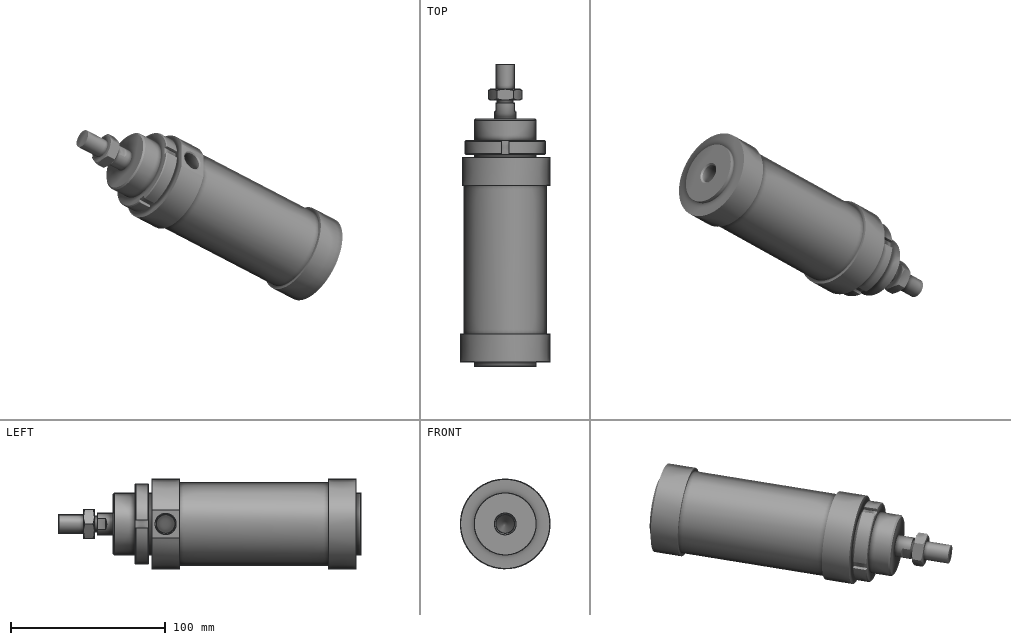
import cadquery as cq
import math

TOTAL_LENGTH = 195.0

CAP_DIAMETER = 58.0
CAP_LENGTH = 18.0
TUBE_DIAMETER = 53.6
TUBE_LENGTH = 96.1
BOSS_DIAMETER = 40.0
TAIL_LENGTH = 3.0
NECK_LENGTH = 25.0
NECK_CHAMFER = 1.0

HOLE_DIAMETER = 12.0
REAR_HOLE_CHAMFER = 1.0
REAR_HOLE_DEPTH = 15.6
DRILL_TIP_ANGLE = 118.0
PORT_DEPTH = 11.7
PORT_CHAMFER = 0.8
PORT_FLAT_OFFSET = 27.5

RING_NUT_DIAMETER = 52.0
RING_NUT_LENGTH = 9.0
RING_NUT_GAP = 2.0
RING_NUT_CHAMFER = 0.5
NOTCH_WIDTH = 5.0
NOTCH_DEPTH = 2.3
NOTCH_COUNT = 4

SHAFT_DIAMETER = 14.0
SHAFT_LENGTH = 10.1
FLAT_LENGTH = 5.0
FLAT_RAMP_LENGTH = 1.0
UNDERCUT_DIAMETER = 10.3
UNDERCUT_LENGTH = 2.0
THREAD_DIAMETER = 12.0

HEX_SIDES = 6
HEX_ACROSS_FLATS = 19.0
HEX_NUT_LENGTH = 7.0
HEX_CHAMFER_ANGLE = 30.0

REAR_CAP_Y = TAIL_LENGTH
TUBE_Y = REAR_CAP_Y + CAP_LENGTH
FRONT_CAP_Y = TUBE_Y + TUBE_LENGTH
NECK_Y = FRONT_CAP_Y + CAP_LENGTH
RING_NUT_Y = NECK_Y + RING_NUT_GAP
SHAFT_Y = NECK_Y + NECK_LENGTH
UNDERCUT_Y = SHAFT_Y + SHAFT_LENGTH
THREAD_Y = UNDERCUT_Y + UNDERCUT_LENGTH


def plane_facing_front(y):
    """Plane at the given Y whose normal is +Y and whose local x is +X."""
    return cq.Plane(origin=(0, y, 0), xDir=(1, 0, 0), normal=(0, 1, 0))


def cylinder(y, diameter, length):
    """Cylinder on the main axis, from y toward +Y."""
    return cq.Workplane(plane_facing_front(y)).circle(diameter / 2).extrude(length)


def hole_cutter(plane, depth, mouth_chamfer, tip_height):
    """Revolved hole that enters along the plane's local y, with a countersunk mouth.

    A tip height of zero leaves the bottom flat.
    """
    radius = HOLE_DIAMETER / 2
    profile = (
        cq.Workplane(plane)
        .moveTo(0, 0)
        .lineTo(radius + mouth_chamfer, 0)
        .lineTo(radius, mouth_chamfer)
        .lineTo(radius, depth)
        .lineTo(0, depth + tip_height)
        .close()
    )
    return profile.revolve(360, (0, 0), (0, 1))


def make_housing():
    rear_cap = cylinder(REAR_CAP_Y, CAP_DIAMETER, CAP_LENGTH)
    tail = cylinder(0, BOSS_DIAMETER, TAIL_LENGTH)
    tube = cylinder(TUBE_Y, TUBE_DIAMETER, TUBE_LENGTH)
    front_cap = cylinder(FRONT_CAP_Y, CAP_DIAMETER, CAP_LENGTH)
    neck = cylinder(NECK_Y, BOSS_DIAMETER, NECK_LENGTH).faces(">Y").chamfer(NECK_CHAMFER)

    port_y = FRONT_CAP_Y + CAP_LENGTH / 2
    land_waste = cq.Workplane().box(CAP_DIAMETER, CAP_LENGTH, CAP_DIAMETER)
    land_waste = land_waste.translate((-PORT_FLAT_OFFSET - CAP_DIAMETER / 2, port_y, 0))
    front_cap = front_cap.cut(land_waste)

    port_plane = cq.Plane(origin=(-PORT_FLAT_OFFSET, port_y, 0), xDir=(0, -1, 0), normal=(0, 0, 1))
    port = hole_cutter(port_plane, PORT_DEPTH, PORT_CHAMFER, tip_height=0)

    tip_height = HOLE_DIAMETER / 2 / math.tan(math.radians(DRILL_TIP_ANGLE / 2))
    rear_hole = hole_cutter(cq.Plane.XY(), REAR_HOLE_DEPTH, REAR_HOLE_CHAMFER, tip_height)

    body = rear_cap.union(tail).union(tube).union(front_cap).union(neck)
    return body.cut(port).cut(rear_hole)


def make_ring_nut():
    nut = cylinder(RING_NUT_Y, RING_NUT_DIAMETER, RING_NUT_LENGTH).edges().chamfer(RING_NUT_CHAMFER)
    nut = nut.cut(cylinder(RING_NUT_Y, BOSS_DIAMETER, RING_NUT_LENGTH))

    notch = cq.Workplane().box(NOTCH_WIDTH, RING_NUT_LENGTH, 2 * NOTCH_DEPTH)
    notch = notch.translate((0, RING_NUT_Y + RING_NUT_LENGTH / 2, RING_NUT_DIAMETER / 2))
    for index in range(NOTCH_COUNT):
        nut = nut.cut(notch.rotate((0, 0, 0), (0, 1, 0), index * 360 / NOTCH_COUNT))
    return nut


def make_rod():
    shaft = cylinder(SHAFT_Y, SHAFT_DIAMETER, SHAFT_LENGTH)
    undercut = cylinder(UNDERCUT_Y, UNDERCUT_DIAMETER, UNDERCUT_LENGTH)
    thread = cylinder(THREAD_Y, THREAD_DIAMETER, TOTAL_LENGTH - THREAD_Y)

    flat_x = THREAD_DIAMETER / 2
    outer_x = SHAFT_DIAMETER / 2
    ramp_y = UNDERCUT_Y - FLAT_LENGTH
    flat_waste = (
        cq.Workplane("XY")
        .moveTo(flat_x, UNDERCUT_Y)
        .lineTo(flat_x, ramp_y)
        .lineTo(outer_x, ramp_y - FLAT_RAMP_LENGTH)
        .lineTo(outer_x, UNDERCUT_Y)
        .close()
        .extrude(outer_x, both=True)
    )
    shaft = shaft.cut(flat_waste).cut(flat_waste.mirror("YZ"))
    return shaft.union(undercut).union(thread)


def make_hex_nut():
    corner_radius = HEX_ACROSS_FLATS / 2 / math.cos(math.pi / HEX_SIDES)
    blank = (
        cq.Workplane(plane_facing_front(THREAD_Y))
        .polygon(HEX_SIDES, 2 * corner_radius)
        .extrude(HEX_NUT_LENGTH)
    )

    turned_depth = corner_radius - HEX_ACROSS_FLATS / 2
    turned_length = turned_depth * math.tan(math.radians(HEX_CHAMFER_ANGLE))
    turned = cylinder(THREAD_Y, 2 * corner_radius, HEX_NUT_LENGTH).edges()
    turned = turned.chamfer(turned_length, turned_depth)
    return blank.intersect(turned).cut(cylinder(THREAD_Y, THREAD_DIAMETER, HEX_NUT_LENGTH))


housing = make_housing()
ring_nut = make_ring_nut()
rod = make_rod()
hex_nut = make_hex_nut()

result = cq.Compound.makeCompound([housing.val(), ring_nut.val(), rod.val(), hex_nut.val()])